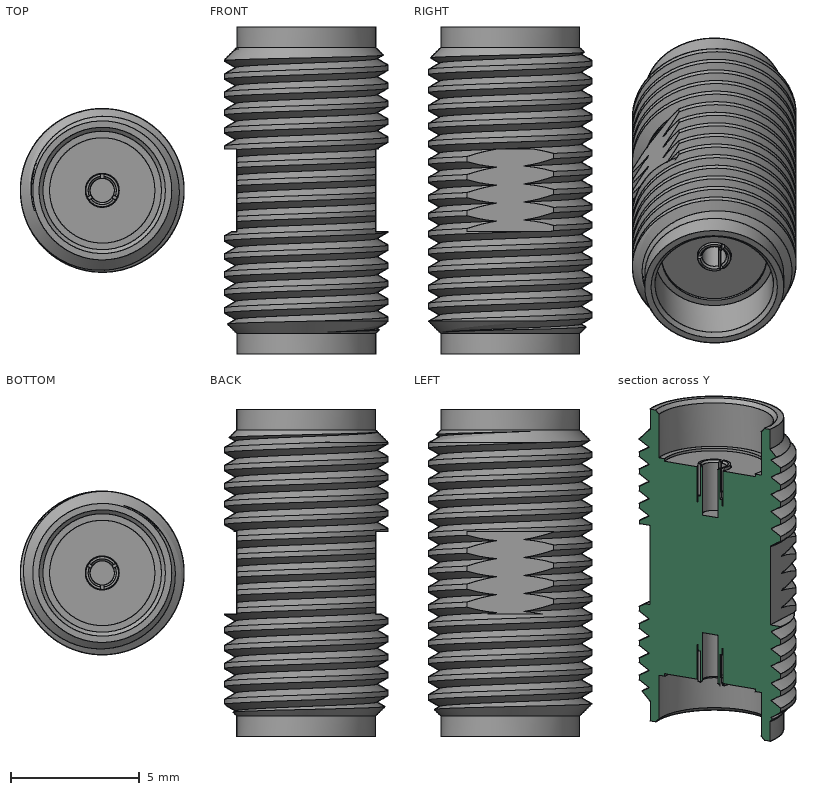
import cadquery as cq
import math

length = 12.7
mid_height = length / 2
thread_radius = 6.36 / 2
collar_radius = 5.4 / 2
collar_height = 0.8
lead_in = thread_radius - collar_radius

pitch = 0.7
thread_depth = 0.43
thread_angle = 60.0
flank_slope = math.tan(math.radians(thread_angle / 2))
root_offset = 0.23
tool_overshoot = 0.08
turns_below = 9
turns_above = 8

flat_distance = collar_radius
flat_height = 3.2

socket_radius = 2.3
socket_depth = 1.92
socket_chamfer = 0.15
insulator_radius = 2.05
insulator_drop = 0.1

contact_radius = 0.64
contact_hole_radius = 0.47
contact_hole_depth = 2.03
contact_chamfer = 0.08
clearance_radius = 0.66
clearance_depth = 1.52
slot_width = 0.13
slot_depth = 1.27
slot_count = 3
first_slot_angle = 90.0


def make_barrel():
    shoulder = length - collar_height
    return (
        cq.Workplane("XZ")
        .moveTo(0, 0)
        .lineTo(collar_radius, 0)
        .lineTo(collar_radius, collar_height)
        .lineTo(thread_radius, collar_height + lead_in)
        .lineTo(thread_radius, shoulder - lead_in)
        .lineTo(collar_radius, shoulder)
        .lineTo(collar_radius, length)
        .lineTo(0, length)
        .close()
        .revolve(360, (0, 0, 0), (0, 1, 0))
    )


def make_groove_turn(start):
    """One turn of the V groove, with its root starting on the +X side at height start."""
    root_radius = thread_radius - thread_depth
    mouth_radius = thread_radius + tool_overshoot
    half_mouth = (mouth_radius - root_radius) * flank_slope
    helix = cq.Wire.makeHelix(pitch, pitch, root_radius, cq.Vector(0, 0, start))
    return (
        cq.Workplane("XZ")
        .moveTo(root_radius, start)
        .lineTo(mouth_radius, start + half_mouth)
        .lineTo(mouth_radius, start - half_mouth)
        .close()
        .sweep(cq.Workplane(obj=helix), isFrenet=True)
    )


def cut_thread(body):
    for turn in range(-turns_below, turns_above):
        body = body.cut(make_groove_turn(mid_height + root_offset + turn * pitch))
    return body


def cut_flats(body):
    cutter_width = thread_radius
    for side in (-1, 1):
        cutter = cq.Workplane("XY").box(cutter_width, 2 * thread_radius, flat_height)
        body = body.cut(cutter.translate((side * (flat_distance + cutter_width / 2), 0, mid_height)))
    return body


def make_upper_cavity():
    """Everything cut from the upper end: socket, insulator recess and contact bore, gap and slots."""
    floor = length - socket_depth
    insulator_top = floor - insulator_drop
    profile = (
        cq.Workplane("XZ")
        .moveTo(0, length)
        .lineTo(socket_radius + socket_chamfer, length)
        .lineTo(socket_radius, length - socket_chamfer)
        .lineTo(socket_radius, floor)
        .lineTo(insulator_radius, floor)
        .lineTo(insulator_radius, insulator_top)
        .lineTo(clearance_radius, insulator_top)
        .lineTo(clearance_radius, floor - clearance_depth)
        .lineTo(contact_radius, floor - clearance_depth)
        .lineTo(contact_radius, floor)
        .lineTo(contact_hole_radius + contact_chamfer, floor)
        .lineTo(contact_hole_radius, floor - contact_chamfer)
        .lineTo(contact_hole_radius, floor - contact_hole_depth)
        .lineTo(0, floor - contact_hole_depth)
        .close()
    )
    cavity = profile.revolve(360, (0, 0, 0), (0, 1, 0))
    for index in range(slot_count):
        slot = (
            cq.Workplane("XY")
            .box(contact_radius, slot_width, slot_depth, centered=(False, True, False))
            .translate((0, 0, floor - slot_depth))
            .rotate((0, 0, 0), (0, 0, 1), first_slot_angle + index * 360 / slot_count)
        )
        cavity = cavity.union(slot)
    return cavity


upper_cavity = make_upper_cavity()
lower_cavity = upper_cavity.mirror("XY", (0, 0, mid_height))

body = cut_flats(cut_thread(make_barrel()))
result = body.cut(upper_cavity).cut(lower_cavity)